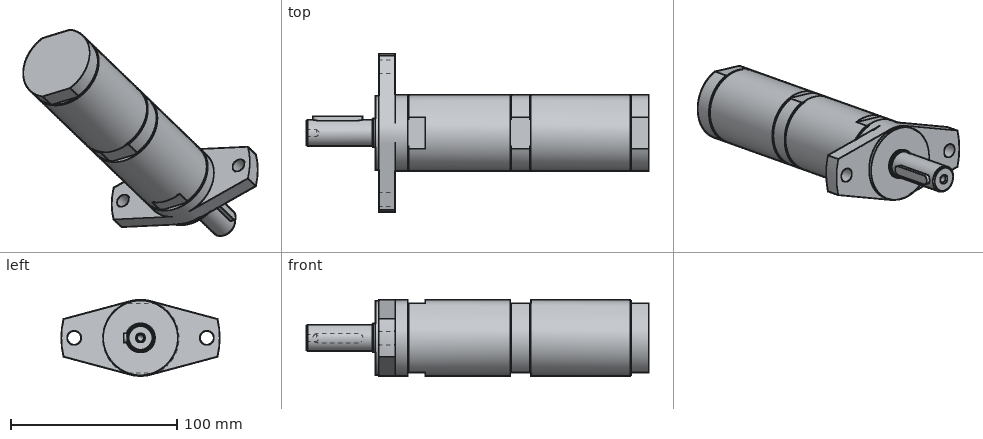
import cadquery as cq
import math

shaft_end = -103.2
collar_start = -63.4
pilot_start = -61.5
flange_front = -59.5
flange_thickness = 10.0
front_joint = -42.0
front_flat_length = 10.3
middle_flat_start = 19.8
middle_flat_end = 32.2
rear_joint = 91.9
body_end = 103.2

body_diameter = 46.0
joint_diameter = 45.0
pilot_diameter = 45.0
joint_width = 0.6
across_flats = 42.0

shaft_diameter = 16.0
shaft_chamfer = 0.8
collar_diameter = 17.5
collar_chamfer = 0.6
center_mouth_diameter = 5.5
center_drill_diameter = 4.1
center_drill_depth = 6.2
center_cone_depth = 1.0

key_start = -99.3
key_length = 30.1
key_width = 5.5
key_top = 10.1
key_seat = 5.0

flange_span = 95.6
flange_side_angle = math.radians(15)
bolt_hole_diameter = 8.3
bolt_spacing = 80.0


def cylinder(start, end, diameter):
    """Solid cylinder about the X axis between two stations."""
    return cq.Workplane("YZ", origin=(start, 0, 0)).circle(diameter / 2).extrude(end - start)


def make_shaft():
    """Chamfered shaft with a low collar next to the pilot."""
    shaft = cylinder(shaft_end, pilot_start, shaft_diameter).faces("<X").chamfer(shaft_chamfer)
    collar = cylinder(collar_start, pilot_start, collar_diameter).faces("<X").chamfer(collar_chamfer)
    return shaft.union(collar)


def make_center_hole():
    """Conical mouth, straight bore and pointed bottom, revolved about the X axis."""
    drill_radius = center_drill_diameter / 2
    cone_end = shaft_end + center_cone_depth
    drill_end = shaft_end + center_drill_depth
    return (
        cq.Workplane("XY")
        .moveTo(shaft_end, 0)
        .lineTo(shaft_end, center_mouth_diameter / 2)
        .lineTo(cone_end, drill_radius)
        .lineTo(drill_end, drill_radius)
        .lineTo(drill_end + drill_radius, 0)
        .close()
        .revolve(360, (0, 0, 0), (1, 0, 0))
    )


def make_key():
    """Round-ended parallel key seated in the shaft."""
    key_center = key_start + key_length / 2
    return (
        cq.Workplane("XZ", origin=(key_center, key_seat, 0))
        .slot2D(key_length, key_width)
        .extrude(key_seat - key_top)
    )


def make_flange():
    """Plate with sides that touch the body along tangent lines and ends rounded about the axis."""
    body_radius = body_diameter / 2
    end_radius = flange_span / 2
    tangent_y = body_radius * math.sin(flange_side_angle)
    tangent_z = body_radius * math.cos(flange_side_angle)
    corner_angle = math.pi / 2 - flange_side_angle - math.acos(body_radius / end_radius)
    corner_y = end_radius * math.cos(corner_angle)
    corner_z = end_radius * math.sin(corner_angle)
    plate = (
        cq.Workplane("YZ", origin=(flange_front, 0, 0))
        .moveTo(-tangent_y, tangent_z)
        .lineTo(tangent_y, tangent_z)
        .lineTo(corner_y, corner_z)
        .threePointArc((end_radius, 0), (corner_y, -corner_z))
        .lineTo(tangent_y, -tangent_z)
        .lineTo(-tangent_y, -tangent_z)
        .lineTo(-corner_y, -corner_z)
        .threePointArc((-end_radius, 0), (-corner_y, corner_z))
        .close()
        .extrude(flange_thickness)
    )
    bolt_holes = (
        cq.Workplane("YZ", origin=(flange_front, 0, 0))
        .pushPoints([(-bolt_spacing / 2, 0), (bolt_spacing / 2, 0)])
        .circle(bolt_hole_diameter / 2)
        .extrude(flange_thickness)
    )
    return plate.cut(bolt_holes)


def joint_groove(start):
    """Shallow ring cut around the body where two sections meet."""
    return cylinder(start, start + joint_width, body_diameter).cut(
        cylinder(start, start + joint_width, joint_diameter)
    )


def wrench_flats(start, end):
    """Material outside a pair of flats on the top and bottom of the body."""
    length = end - start
    outer = cq.Workplane("XY").box(length, body_diameter, body_diameter)
    kept = cq.Workplane("XY").box(length, body_diameter, across_flats)
    return outer.cut(kept).translate(((start + end) / 2, 0, 0))


body = cylinder(flange_front, body_end, body_diameter)
for joint_start in (front_joint, middle_flat_start, middle_flat_end - joint_width, rear_joint):
    body = body.cut(joint_groove(joint_start))

flat_stations = [
    (front_joint, front_joint + front_flat_length),
    (middle_flat_start, middle_flat_end),
    (rear_joint + joint_width, body_end),
]
for flat_start, flat_end in flat_stations:
    body = body.cut(wrench_flats(flat_start, flat_end))

shaft = make_shaft().union(make_key()).cut(make_center_hole())
pilot = cylinder(pilot_start, flange_front, pilot_diameter)
result = body.union(make_flange()).union(pilot).union(shaft)